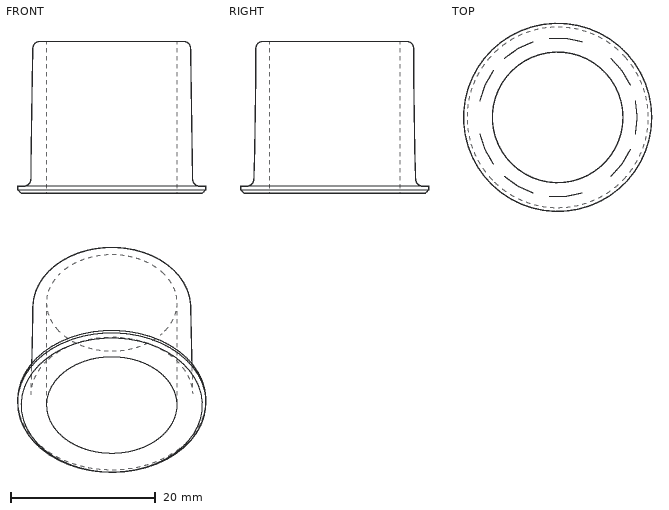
import cadquery as cq

height = 21.0
bore_radius = 9.0
flange_radius = 13.0
flange_thickness = 1.0

sleeve_bottom_radius = 11.2
sleeve_top_radius = 10.9

rim_round = 1.0
flange_blend = 1.0
flange_chamfer = 0.5


def flange():
    """Flat disc with a chamfered lower edge, standing on Z = 0."""
    disc = cq.Workplane("XY").circle(flange_radius).extrude(flange_thickness)
    return disc.faces("<Z").edges().chamfer(flange_chamfer)


def sleeve():
    """Solid tapered sleeve on top of the flange, with a rounded upper rim."""
    half_section = (
        cq.Workplane("XZ")
        .moveTo(0, flange_thickness)
        .lineTo(sleeve_bottom_radius, flange_thickness)
        .lineTo(sleeve_top_radius, height)
        .lineTo(0, height)
        .close()
    )
    cone = half_section.revolve(360, (0, 0, 0), (0, 1, 0))
    return cone.faces(">Z").edges().fillet(rim_round)


def blend_sleeve_into_flange(body):
    """Round the inside corner where the sleeve meets the flange."""
    margin = 0.1
    reach = sleeve_bottom_radius + margin
    corner_selector = cq.selectors.BoxSelector(
        (-reach, -reach, flange_thickness - margin),
        (reach, reach, flange_thickness + margin),
        boundingbox=True,
    )
    return body.edges(corner_selector).fillet(flange_blend)


def cut_bore(body):
    """Open the straight bore through the full height."""
    bore = cq.Workplane("XY").circle(bore_radius).extrude(height)
    return body.cut(bore)


result = cut_bore(blend_sleeve_into_flange(flange().union(sleeve())))